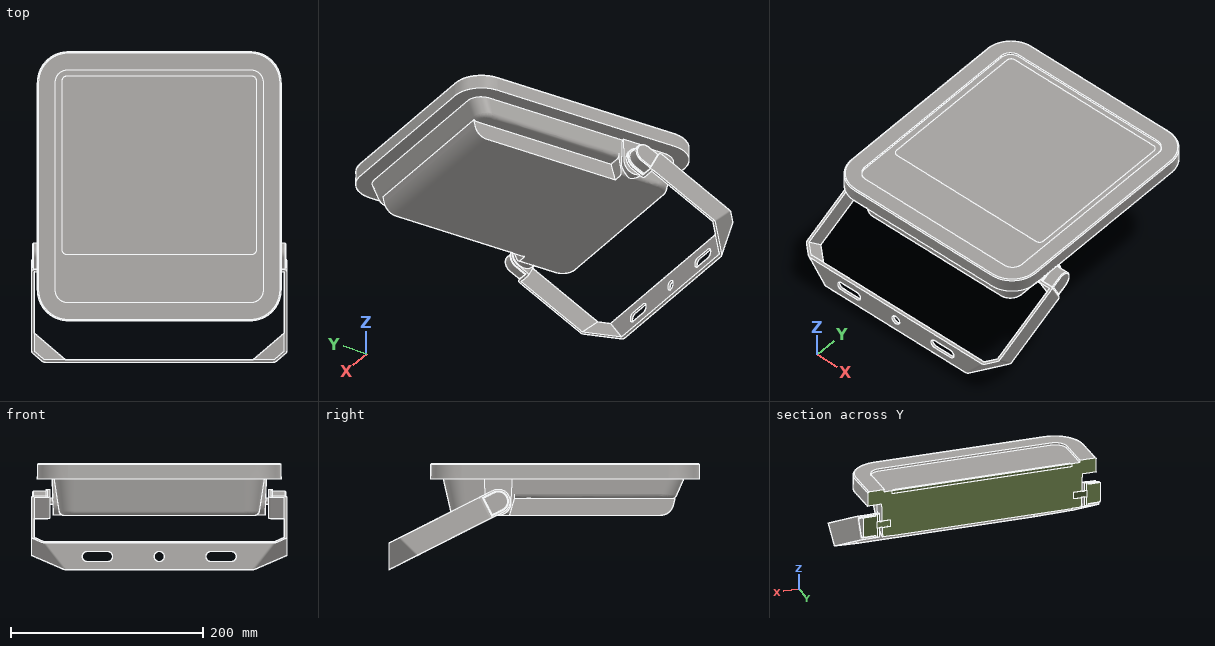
import cadquery as cq
import math


RIM_X = 254.0
RIM_Y = 280.2
RIM_DEPTH = 16.5
RIM_CORNER = 32.5
RIM_DRAFT = 0.5
RIM_CHAMFER = 1.3

RECESS_X = 216.8
RECESS_Y = 242.0
RECESS_CORNER = 13
RECESS_DEPTH = 2.5
WINDOW_X = 202.5
WINDOW_BACK_Y = 115.0
WINDOW_FRONT_Y = -71.2
WINDOW_CORNER = 5.5
WINDOW_THICK = 3.2

TRAY_TOP = dict(half_x=109.5, front_y=-126.8, rear_y=123.5, front_corner=21.0, rear_corner=16.2)
TRAY_BASE = dict(half_x=103.5, front_y=-118.0, rear_y=107.5, front_corner=15.2, rear_corner=13)
LEDGE_REAR_Y = 114.5
LEDGE_REAR_CORNER = 14.2
LEDGE_Z = -37.0
BASE_Z = -54.5
BASE_FILLET = 5.2
LEDGE_FILLET = 5.5

COMPARTMENT_TOP_Y = -52.7
COMPARTMENT_BASE_Y = -58.0
BLOCK_HALF_X = 90.5
BLOCK_REAR_SLOPE = 14
BLOCK_FILLET = 14.2

PIVOT_Y = -69.5
PIVOT_Z = -39.5
BOLT_DIAMETER = 6.8
BOLT_DEPTH_IN_BOSS = 9.7

BOSS_OUTER_X = 111.5
BOSS_BASE_X = 110.3
BOSS_INNER_X = 90.5
BOSS_TOP_HALF = 14.5
BOSS_PIVOT_HALF = 13.3
BOSS_BASE_Z = -54.0

BRACKET_X = 266.0
BRACKET_END_Y = RIM_Y / 2 - 323.5
STRIP_THICK = 3.0
STRIP_WIDTH = 25.0
TILT = 26.8
JOG_DISTANCE = 16.0
ARM_STUB = 6.5
EAR_OUTER_X = 116.5
BEND_RADIUS = 3.0
FOLD_RADIUS = 3.2
CORNER_FOLD_Z = -67.3
CORNER_FOLD_NORMAL = (-1.3, -1, -1.03)
HOLE_DIAMETER = 10.5
SLOT_LENGTH = 31.5
SLOT_SPACING = 128.8

CAP_OUTER_X = 131.7
CAP_RADIUS = 10.7
CAP_FLANGE_RADIUS = STRIP_WIDTH / 2
CAP_FLANGE_THICK = 1.3
CAP_EDGE = 1.0

REACH = 323.5
EAR_INNER_X = EAR_OUTER_X - STRIP_THICK
SIDES = (-1, 1)


def rounded_block(size_x, front_y, rear_y, corner, bottom_z, top_z):
    """Upright block with rounded corners, centred on X."""
    return (
        cq.Workplane("XY", origin=(0, (front_y + rear_y) / 2, bottom_z))
        .rect(size_x, rear_y - front_y)
        .extrude(top_z - bottom_z)
        .edges("|Z")
        .fillet(corner)
    )


def tray_section(half_x, front_y, rear_y, front_corner, rear_corner):
    outline = cq.Sketch().push([(0, (front_y + rear_y) / 2)]).rect(2 * half_x, rear_y - front_y)
    outline = outline.reset().vertices("<Y").fillet(front_corner)
    return outline.reset().vertices(">Y").fillet(rear_corner).reset()


def ledge_section():
    """Tray size at the ledge, on the same side and front walls as the deep compartment."""
    fraction = (LEDGE_Z + RIM_DEPTH) / (BASE_Z + RIM_DEPTH)
    section = {name: size + fraction * (TRAY_BASE[name] - size) for name, size in TRAY_TOP.items()}
    section.update(rear_y=LEDGE_REAR_Y, rear_corner=LEDGE_REAR_CORNER)
    return section


def tapered_tray(lower_section, lower_z, fillet):
    """Tray narrowing from under the rim to a filleted lower face."""
    lower = tray_section(**lower_section).moved(cq.Location(cq.Vector(0, 0, lower_z + RIM_DEPTH)))
    tray = (
        cq.Workplane("XY", origin=(0, 0, -RIM_DEPTH))
        .placeSketch(tray_section(**TRAY_TOP), lower)
        .loft(ruled=True)
    )
    return tray.faces("<Z").edges().fillet(fillet)


def make_rim():
    return (
        cq.Workplane("XY", origin=(0, 0, -RIM_DEPTH))
        .placeSketch(cq.Sketch().rect(RIM_X, RIM_Y).vertices().fillet(RIM_CORNER))
        .extrude(RIM_DEPTH, taper=RIM_DRAFT)
        .faces(">Z")
        .edges()
        .chamfer(RIM_CHAMFER)
    )


def front_space():
    """Space taken by the front compartment, closed at the rear by a sloping plane."""
    return (
        cq.Workplane("YZ", origin=(-REACH / 2, 0, 0))
        .polyline([
            (-REACH, -RIM_DEPTH),
            (COMPARTMENT_TOP_Y, -RIM_DEPTH),
            (COMPARTMENT_TOP_Y, LEDGE_Z),
            (COMPARTMENT_BASE_Y, BASE_Z),
            (-REACH, BASE_Z),
        ])
        .close()
        .extrude(REACH)
    )


def make_front_compartment():
    return tapered_tray(TRAY_BASE, BASE_Z, BASE_FILLET).intersect(front_space())


def make_rear_tray():
    return tapered_tray(ledge_section(), LEDGE_Z, LEDGE_FILLET).cut(front_space())


def make_rear_block():
    top_y = LEDGE_REAR_Y
    base_y = top_y - (LEDGE_Z - BASE_Z) * math.tan(math.radians(BLOCK_REAR_SLOPE))
    block_top_z = LEDGE_Z + LEDGE_FILLET
    block_front_y = COMPARTMENT_BASE_Y - BASE_FILLET
    return (
        cq.Workplane("YZ", origin=(-BLOCK_HALF_X, 0, 0))
        .polyline([
            (block_front_y, block_top_z),
            (top_y, block_top_z),
            (top_y, LEDGE_Z),
            (base_y, BASE_Z),
            (block_front_y, BASE_Z),
        ])
        .close()
        .extrude(2 * BLOCK_HALF_X)
        .edges(cq.NearestToPointSelector((0, base_y, BASE_Z)))
        .fillet(BLOCK_FILLET)
    )


def make_boss(side):
    """Round-bottomed boss on the side of the tray, with a slightly drafted outer face."""
    boss = (
        cq.Workplane("YZ", origin=(side * BOSS_INNER_X, PIVOT_Y, 0))
        .moveTo(-BOSS_PIVOT_HALF, PIVOT_Z)
        .lineTo(-BOSS_TOP_HALF, -RIM_DEPTH)
        .lineTo(BOSS_TOP_HALF, -RIM_DEPTH)
        .lineTo(BOSS_PIVOT_HALF, PIVOT_Z)
        .threePointArc((0, BOSS_BASE_Z), (-BOSS_PIVOT_HALF, PIVOT_Z))
        .close()
        .extrude(side * (BOSS_OUTER_X - BOSS_INNER_X))
    )
    outside_draft = (
        cq.Workplane("XZ", origin=(0, PIVOT_Y + REACH / 2, 0))
        .polyline([
            (side * BOSS_OUTER_X, -RIM_DEPTH),
            (side * BOSS_OUTER_X, BOSS_BASE_Z),
            (side * BOSS_BASE_X, BOSS_BASE_Z),
        ])
        .close()
        .extrude(REACH)
    )
    return boss.cut(outside_draft)


def make_bolt(side):
    """Plain bolt through the bracket ear into the boss."""
    inner_x = BOSS_OUTER_X - BOLT_DEPTH_IN_BOSS
    return (
        cq.Workplane("YZ", origin=(side * inner_x, PIVOT_Y, PIVOT_Z))
        .circle(BOLT_DIAMETER / 2)
        .extrude(side * (EAR_OUTER_X - inner_x))
    )


def make_window():
    floor_z = -RECESS_DEPTH
    return rounded_block(
        WINDOW_X, WINDOW_FRONT_Y, WINDOW_BACK_Y, WINDOW_CORNER, floor_z - WINDOW_THICK, floor_z
    )


def make_housing():
    housing = make_rim().union(make_rear_tray()).union(make_front_compartment())
    housing = housing.union(make_rear_block())
    for side in SIDES:
        housing = housing.union(make_boss(side))
    recess = rounded_block(
        RECESS_X, -RECESS_Y / 2, RECESS_Y / 2, RECESS_CORNER, -RECESS_DEPTH, RIM_DEPTH
    )
    housing = housing.cut(recess).cut(make_window())
    for side in SIDES:
        housing = housing.cut(make_bolt(side))
    return housing


def tilt_to_strip(shape):
    """Turn a shape built along -Y about the pivot so that it follows the sloping strip."""
    return shape.rotate((0, PIVOT_Y, PIVOT_Z), (1, PIVOT_Y, PIVOT_Z), TILT)


def bracket_core(inset):
    """Solid inside the bent strip, inset from its outer surface, with both folded corners."""
    half_x = BRACKET_X / 2 - inset
    end_y = BRACKET_END_Y + inset
    core = cq.Workplane("XY").box(2 * half_x, REACH, REACH).translate((0, end_y + REACH / 2, 0))
    fold_normal = cq.Vector(*CORNER_FOLD_NORMAL).normalized()
    fold_origin = cq.Vector(-BRACKET_X / 2, BRACKET_END_Y, CORNER_FOLD_Z) - fold_normal * inset
    outside_fold = cq.Workplane(cq.Plane(fold_origin, normal=fold_normal)).rect(REACH, REACH).extrude(REACH)
    return core.cut(outside_fold).cut(outside_fold.mirror("YZ"))


def strip_slab():
    """Sloping slab that gives the bent strip its two long edges."""
    slab_start = PIVOT_Y - JOG_DISTANCE - ARM_STUB
    slab = cq.Workplane("XY").box(REACH, REACH, STRIP_WIDTH)
    return tilt_to_strip(slab.translate((0, slab_start - REACH / 2, PIVOT_Z)))


def make_jog(side):
    """Inward step at the end of an arm, leading to a round-ended ear at the pivot."""
    outer_x = BRACKET_X / 2
    wall_y = PIVOT_Y - JOG_DISTANCE
    wall_back_y = wall_y + STRIP_THICK
    arm_y = wall_y - ARM_STUB
    jog = (
        cq.Workplane("XY", origin=(0, 0, PIVOT_Z - STRIP_WIDTH / 2))
        .polyline([
            (side * EAR_INNER_X, PIVOT_Y),
            (side * EAR_INNER_X, wall_y),
            (side * (outer_x - STRIP_THICK), wall_y),
            (side * (outer_x - STRIP_THICK), arm_y),
            (side * outer_x, arm_y),
            (side * outer_x, wall_back_y),
            (side * EAR_OUTER_X, wall_back_y),
            (side * EAR_OUTER_X, PIVOT_Y),
        ])
        .close()
        .extrude(STRIP_WIDTH)
    )
    for bend_x, bend_y in [(EAR_INNER_X, wall_y), (outer_x, wall_back_y)]:
        bend_edge = cq.NearestToPointSelector((side * bend_x, bend_y, PIVOT_Z))
        jog = jog.edges("|Z").edges(bend_edge).fillet(BEND_RADIUS)
    ear_end = (
        cq.Workplane("YZ", origin=(side * EAR_INNER_X, PIVOT_Y, PIVOT_Z))
        .circle(STRIP_WIDTH / 2)
        .extrude(side * STRIP_THICK)
    )
    return tilt_to_strip(jog.union(ear_end))


def make_bracket():
    outside = bracket_core(0).edges("not(|Z or #Z)").fillet(FOLD_RADIUS)
    strip = outside.cut(bracket_core(STRIP_THICK)).intersect(strip_slab())
    for side in SIDES:
        strip = strip.union(make_jog(side))
    middle_z = PIVOT_Z - (PIVOT_Y - BRACKET_END_Y) * math.tan(math.radians(TILT))
    base = cq.Workplane("XZ", origin=(0, BRACKET_END_Y + 2 * STRIP_THICK, middle_z))
    strip = strip.cut(base.circle(HOLE_DIAMETER / 2).extrude(3 * STRIP_THICK))
    slots = base.rarray(SLOT_SPACING, 3.2, 2, 1).slot2D(SLOT_LENGTH, HOLE_DIAMETER)
    strip = strip.cut(slots.extrude(3 * STRIP_THICK))
    for side in SIDES:
        strip = strip.cut(make_bolt(side))
    return strip


def cap_layer(side, start_x, end_x, radius):
    """Half-round plate that runs straight from the pivot to the jog wall."""
    wall = STRIP_THICK - JOG_DISTANCE
    return (
        cq.Workplane("YZ", origin=(side * start_x, PIVOT_Y, PIVOT_Z))
        .moveTo(wall, -radius)
        .lineTo(0, -radius)
        .threePointArc((radius, 0), (0, radius))
        .lineTo(wall, radius)
        .close()
        .extrude(side * (end_x - start_x))
    )


def make_cap(side):
    cap = cap_layer(side, EAR_OUTER_X, CAP_OUTER_X, CAP_RADIUS)
    cap = cap.faces(">X" if side > 0 else "<X").edges().chamfer(CAP_EDGE)
    flange = cap_layer(side, EAR_OUTER_X, EAR_OUTER_X + CAP_FLANGE_THICK, CAP_FLANGE_RADIUS)
    return tilt_to_strip(cap.union(flange))


housing = make_housing()
window = make_window()
bracket = make_bracket()
caps = [make_cap(side) for side in SIDES]
bolts = [make_bolt(side) for side in SIDES]

result = cq.Compound.makeCompound([
    housing.val(),
    window.val(),
    bracket.val(),
    *[cap.val() for cap in caps],
    *[bolt.val() for bolt in bolts],
])